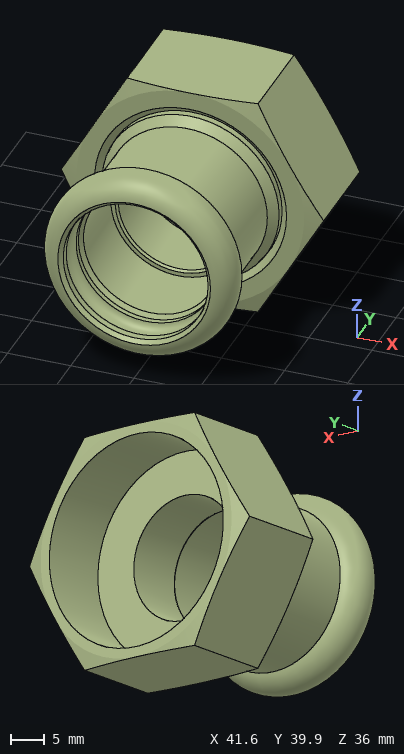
import cadquery as cq
import math

TOTAL_LENGTH = 39.9
HEX_CORNERS = 41.55
HEX_FLATS = HEX_CORNERS * math.cos(math.radians(30))

NUT_LENGTH = 16.55
NUT_CHAMFER_ANGLE = 15.0
NUT_LIP = 2.5
COUNTERSINK_DIAMETER = 30.4
NUT_HOLE_DIAMETER = 28.1
COUNTERSINK_DEPTH = (COUNTERSINK_DIAMETER - NUT_HOLE_DIAMETER) / 2
NUT_BORE_DIAMETER = 32.85
NUT_FRONT = TOTAL_LENGTH - NUT_LENGTH

TUBE_RADIUS = 25.3 / 2
COLLAR_RADIUS = 28.0 / 2
FLANGE_RADIUS = NUT_BORE_DIAMETER / 2
FLANGE_THICKNESS = 2.5
CONE_START = NUT_FRONT - 1.35
CONE_END = CONE_START + COLLAR_RADIUS - TUBE_RADIUS
FLANGE_START = NUT_FRONT + NUT_LIP
FLANGE_END = FLANGE_START + FLANGE_THICKNESS

MOUTH_RADIUS = 24.15 / 2
BEAD_RADIUS = 3.75
BEAD_OUTER_RADIUS = 15.4
BEAD_CENTER_RADIUS = BEAD_OUTER_RADIUS - BEAD_RADIUS
BEAD_END = BEAD_RADIUS + math.sqrt(BEAD_RADIUS**2 - (TUBE_RADIUS - BEAD_CENTER_RADIUS)**2)

LIP_RADIUS = 22.9 / 2
LIP_START = 0.62
LIP_END = 1.83
GROOVE_DEPTH = 1.15
GROOVE_END = 5.15
ENTRY_RADIUS = 22.3 / 2
ENTRY_END = 6.05
SOCKET_RADIUS = 21.35 / 2
SOCKET_START = 7.0
SOCKET_END = 18.3
STOP_RADIUS = 20.0 / 2
BORE_RADIUS = 19.3 / 2
STOP_CHAMFER = STOP_RADIUS - BORE_RADIUS


def revolve_about_y(profile):
    return profile.close().revolve(360, (0, 0, 0), (0, 1, 0))


def make_nut():
    hexagon = (
        cq.Workplane("XZ", origin=(0, NUT_FRONT, 0))
        .polygon(6, HEX_CORNERS)
        .extrude(-NUT_LENGTH)
    )
    corner_drop = (HEX_CORNERS - HEX_FLATS) / 2 * math.tan(math.radians(NUT_CHAMFER_ANGLE))
    chamfer_envelope = revolve_about_y(
        cq.Workplane("XY")
        .moveTo(0, NUT_FRONT)
        .lineTo(HEX_FLATS / 2, NUT_FRONT)
        .lineTo(HEX_CORNERS / 2, NUT_FRONT + corner_drop)
        .lineTo(HEX_CORNERS / 2, TOTAL_LENGTH - corner_drop)
        .lineTo(HEX_FLATS / 2, TOTAL_LENGTH)
        .lineTo(0, TOTAL_LENGTH)
    )
    lip_hole = (
        cq.Workplane("XZ", origin=(0, NUT_FRONT, 0))
        .circle(NUT_HOLE_DIAMETER / 2)
        .extrude(-NUT_LENGTH)
    )
    countersink = revolve_about_y(
        cq.Workplane("XY")
        .moveTo(0, NUT_FRONT)
        .lineTo(COUNTERSINK_DIAMETER / 2, NUT_FRONT)
        .lineTo(NUT_HOLE_DIAMETER / 2, NUT_FRONT + COUNTERSINK_DEPTH)
        .lineTo(0, NUT_FRONT + COUNTERSINK_DEPTH)
    )
    bore = (
        cq.Workplane("XZ", origin=(0, FLANGE_START, 0))
        .circle(NUT_BORE_DIAMETER / 2)
        .extrude(-(TOTAL_LENGTH - FLANGE_START))
    )
    return hexagon.intersect(chamfer_envelope).cut(lip_hole).cut(countersink).cut(bore)


def make_fitting():
    groove_middle = (LIP_END + GROOVE_END) / 2
    return revolve_about_y(
        cq.Workplane("XY")
        .moveTo(MOUTH_RADIUS, 0)
        .threePointArc((BEAD_OUTER_RADIUS, BEAD_RADIUS), (TUBE_RADIUS, BEAD_END))
        .lineTo(TUBE_RADIUS, CONE_START)
        .lineTo(COLLAR_RADIUS, CONE_END)
        .lineTo(COLLAR_RADIUS, FLANGE_START)
        .lineTo(FLANGE_RADIUS, FLANGE_START)
        .lineTo(FLANGE_RADIUS, FLANGE_END)
        .lineTo(BORE_RADIUS, FLANGE_END)
        .lineTo(BORE_RADIUS, SOCKET_END + STOP_CHAMFER)
        .lineTo(STOP_RADIUS, SOCKET_END)
        .lineTo(SOCKET_RADIUS, SOCKET_END)
        .lineTo(SOCKET_RADIUS, SOCKET_START)
        .lineTo(ENTRY_RADIUS, ENTRY_END)
        .lineTo(ENTRY_RADIUS, GROOVE_END)
        .threePointArc((LIP_RADIUS + GROOVE_DEPTH, groove_middle), (LIP_RADIUS, LIP_END))
        .lineTo(LIP_RADIUS, LIP_START)
    )


nut = make_nut()
fitting = make_fitting()
result = cq.Compound.makeCompound([nut.val(), fitting.val()])